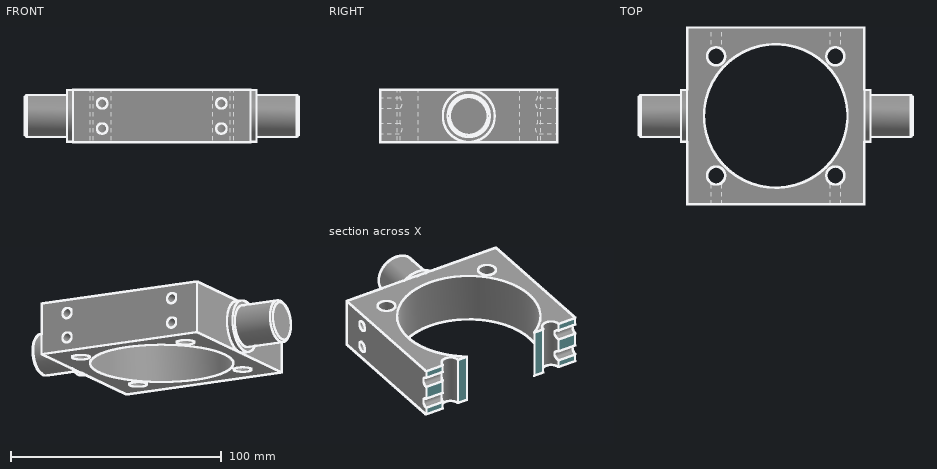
import cadquery as cq

overall_length = 130.0
block_side = 84.0
thickness = 25.0

bore_diameter = 68.0
bolt_hole_diameter = 8.5
bolt_spacing = 56.5

side_hole_diameter = 5.0
side_hole_spacing = 12.0
side_hole_depth = (block_side - bolt_spacing) / 2

collar_diameter = 24.7
collar_length = 3.0
pin_diameter = 20.0
pin_chamfer = 1.0
pin_length = (overall_length - block_side) / 2 - collar_length


def make_block():
    """Square plate with a central bore and four bolt holes."""
    return (
        cq.Workplane("XY")
        .box(block_side, block_side, thickness)
        .faces(">Z").workplane()
        .hole(bore_diameter)
        .faces(">Z").workplane()
        .rect(bolt_spacing, bolt_spacing, forConstruction=True)
        .vertices()
        .hole(bolt_hole_diameter)
    )


def drill_side_holes(body, face):
    """Drill four blind holes from one Y face into its two bolt holes."""
    return (
        body.faces(face).workplane(centerOption="CenterOfBoundBox")
        .rect(bolt_spacing, side_hole_spacing, forConstruction=True)
        .vertices()
        .hole(side_hole_diameter, side_hole_depth)
    )


def make_trunnion(side):
    """Collar and chamfered pin pointing along +X (side = 1) or -X (side = -1)."""
    root = cq.Workplane("YZ", origin=(side * block_side / 2, 0, 0))
    collar = root.circle(collar_diameter / 2).extrude(side * collar_length)
    pin = (
        root.circle(pin_diameter / 2)
        .extrude(side * (collar_length + pin_length))
        .faces(">X" if side > 0 else "<X")
        .chamfer(pin_chamfer)
    )
    return collar.union(pin)


result = make_block()
for face in ("<Y", ">Y"):
    result = drill_side_holes(result, face)
for side in (-1, 1):
    result = result.union(make_trunnion(side))